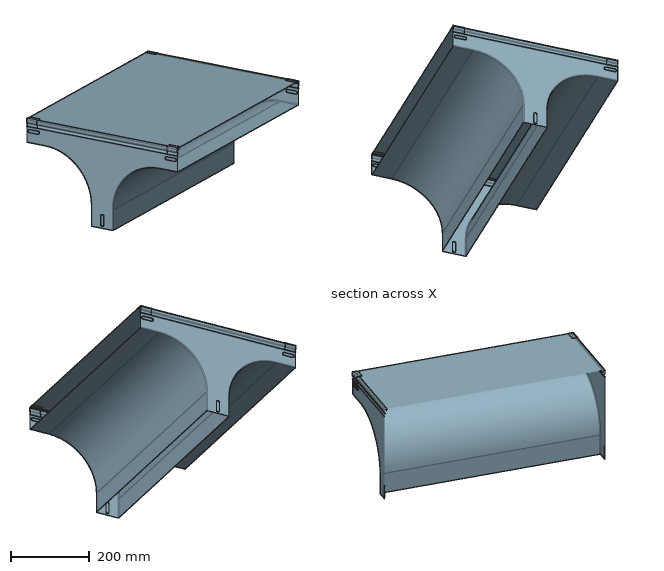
import cadquery as cq
import math


LENGTH = 446.5
WIDTH = 606.5
HEIGHT = 257.0

SHEET = 0.7
CLIP_INSET = 0.0
LID_INSET = SHEET
DUCT_INSET = 2 * SHEET

CORNER_RADIUS = 3.0
GROOVE_TOP = 10.5
GROOVE_CENTRE = 16.5
GROOVE_BOTTOM = 2 * GROOVE_CENTRE - GROOVE_TOP
GROOVE_INSET = 3.0
GROOVE_RADIUS = 3.5
SKIRT_DEPTH = 21.0

CLIP_LENGTH = 30.5
CLIP_REACH = 16.0

HEM_INSET = 8.0
HEM_RADIUS = 2.5

FLOOR_Z = 191.5
LEG_WIDTH = 65.0
SWEEP_RADIUS = 136.5
FOLD_RADIUS = 2.1
WALL_Y = WIDTH / 2 - DUCT_INSET
WALL_TOP = HEIGHT - GROOVE_BOTTOM
OPEN_END = 6.0

PAD_LENGTH = 33.0
PAD_WIDTH = 8.5
PAD_RISE = 1.0
PAD_RECESS = 0.35
PAD_DEPTH = 33.5
ARM_PAD_X = 203.0
LEG_PAD_Z = 21.0
PADS = [
    (-ARM_PAD_X, HEIGHT - PAD_DEPTH, 0),
    (ARM_PAD_X, HEIGHT - PAD_DEPTH, 0),
    (0, LEG_PAD_Z, 90),
]


def polar(centre, radius, angle):
    """Point on a circle in the YZ plane."""
    return (centre[0] + radius * math.cos(angle), centre[1] + radius * math.sin(angle))


def both_sides(shape):
    """The shape together with its mirror image across the XZ plane."""
    return shape.union(shape.mirror("XZ"))


def skirt_block(inset, length, depth):
    """Solid inside the clips' outer face, moved inwards by inset and cut off at a depth."""
    drop = GROOVE_CENTRE - GROOVE_TOP
    turn = 2 * math.atan(GROOVE_INSET / drop)
    shoulder_radius = drop / math.sin(turn) - GROOVE_RADIUS

    side = WIDTH / 2
    corner_centre = (side - CORNER_RADIUS, HEIGHT - CORNER_RADIUS)
    upper_centre = (side - shoulder_radius, HEIGHT - GROOVE_TOP)
    groove_centre = (side - GROOVE_INSET + GROOVE_RADIUS, HEIGHT - GROOVE_CENTRE)
    lower_centre = (side - shoulder_radius, HEIGHT - GROOVE_BOTTOM)
    corner = CORNER_RADIUS - inset
    shoulder = shoulder_radius - inset
    groove = GROOVE_RADIUS + inset

    half = (
        cq.Workplane("YZ")
        .moveTo(0, HEIGHT - inset)
        .lineTo(*polar(corner_centre, corner, math.pi / 2))
        .threePointArc(polar(corner_centre, corner, math.pi / 4), polar(corner_centre, corner, 0))
        .lineTo(*polar(upper_centre, shoulder, 0))
        .threePointArc(polar(upper_centre, shoulder, -turn / 2), polar(upper_centre, shoulder, -turn))
        .threePointArc(polar(groove_centre, groove, math.pi), polar(groove_centre, groove, math.pi + turn))
        .threePointArc(polar(lower_centre, shoulder, turn / 2), polar(lower_centre, shoulder, 0))
        .lineTo(0, HEIGHT - GROOVE_BOTTOM)
        .close()
        .extrude(length / 2, both=True)
    )
    zone = cq.Workplane("XY").box(length, WIDTH, depth).translate((0, 0, HEIGHT - depth / 2))
    return both_sides(half).intersect(zone)


def skirt_sheet(inset, length, depth):
    """Top sheet with grooved skirts along both long edges."""
    return skirt_block(inset, length, depth).cut(skirt_block(inset + SHEET, length, depth))


def tee_block(inset, overrun, top):
    """Solid tee with folded edges, moved inwards by inset; overrun lengthens its open ends."""
    end = LENGTH / 2 + overrun
    leg = LEG_WIDTH / 2 - inset
    floor = FLOOR_Z + inset
    sweep_x = LEG_WIDTH / 2 + SWEEP_RADIUS
    sweep_z = FLOOR_Z - SWEEP_RADIUS
    sweep_mid = (SWEEP_RADIUS + inset) * math.sqrt(0.5)
    block = (
        cq.Workplane("XZ")
        .moveTo(-end, top)
        .lineTo(-end, floor)
        .lineTo(-sweep_x, floor)
        .threePointArc((-sweep_x + sweep_mid, sweep_z + sweep_mid), (-leg, sweep_z))
        .lineTo(-leg, -overrun)
        .lineTo(leg, -overrun)
        .lineTo(leg, sweep_z)
        .threePointArc((sweep_x - sweep_mid, sweep_z + sweep_mid), (sweep_x, floor))
        .lineTo(end, floor)
        .lineTo(end, top)
        .close()
        .extrude(WALL_Y - inset, both=True)
    )
    folds = block.faces("<Y or >Y").edges("not (<X or >X or <Z or >Z)")
    return folds.fillet(FOLD_RADIUS - inset)


def build_rim():
    """Grooved upper edges of the duct, each with a flange that ends in a half-round hem."""
    opening = cq.Workplane("XY").box(LENGTH, WIDTH - 2 * HEM_INSET, HEIGHT).translate((0, 0, HEIGHT / 2))
    rim = skirt_sheet(DUCT_INSET, LENGTH, GROOVE_BOTTOM).cut(opening)
    inner_half = cq.Workplane("XY").box(LENGTH, HEM_RADIUS, 2 * HEM_RADIUS).translate((0, -HEM_RADIUS / 2, 0))
    hem = (
        cq.Workplane("YZ")
        .circle(HEM_RADIUS)
        .circle(HEM_RADIUS - SHEET)
        .extrude(LENGTH / 2, both=True)
        .intersect(inner_half)
        .translate((0, WIDTH / 2 - HEM_INSET, HEIGHT - DUCT_INSET - HEM_RADIUS))
    )
    return rim.union(both_sides(hem))


def pad_prism(x, z, angle, thickness):
    """Round-ended prism on each wall, reaching inwards from the wall's outer face."""
    prism = (
        cq.Workplane("XZ", origin=(x, WALL_Y, z))
        .slot2D(PAD_LENGTH, PAD_WIDTH, angle)
        .extrude(thickness)
    )
    return both_sides(prism)


def build_duct():
    hollow = tee_block(SHEET, OPEN_END, HEIGHT)
    duct = tee_block(0, 0, WALL_TOP).cut(hollow).union(build_rim())
    for x, z, angle in PADS:
        duct = duct.union(pad_prism(x, z, angle, SHEET + PAD_RISE))
        duct = duct.cut(pad_prism(x, z, angle, PAD_RECESS))
    return duct


def build_lid():
    return skirt_sheet(LID_INSET, LENGTH, SKIRT_DEPTH)


def build_clip(x_side, y_side):
    """Clip gripping one corner of the lid; x_side and y_side are -1 or 1."""
    x = x_side * (LENGTH - CLIP_LENGTH) / 2
    y = y_side * (WIDTH - CLIP_REACH) / 2
    corner = cq.Workplane("XY").box(CLIP_LENGTH, CLIP_REACH, HEIGHT).translate((0, y, HEIGHT / 2))
    return skirt_sheet(CLIP_INSET, CLIP_LENGTH, SKIRT_DEPTH).intersect(corner).translate((x, 0, 0))


duct = build_duct().solids()
lid = build_lid().solids()
clips = [build_clip(x_side, y_side).solids() for x_side in (-1, 1) for y_side in (-1, 1)]

result = cq.Compound.makeCompound([duct.val(), lid.val(), *[clip.val() for clip in clips]])